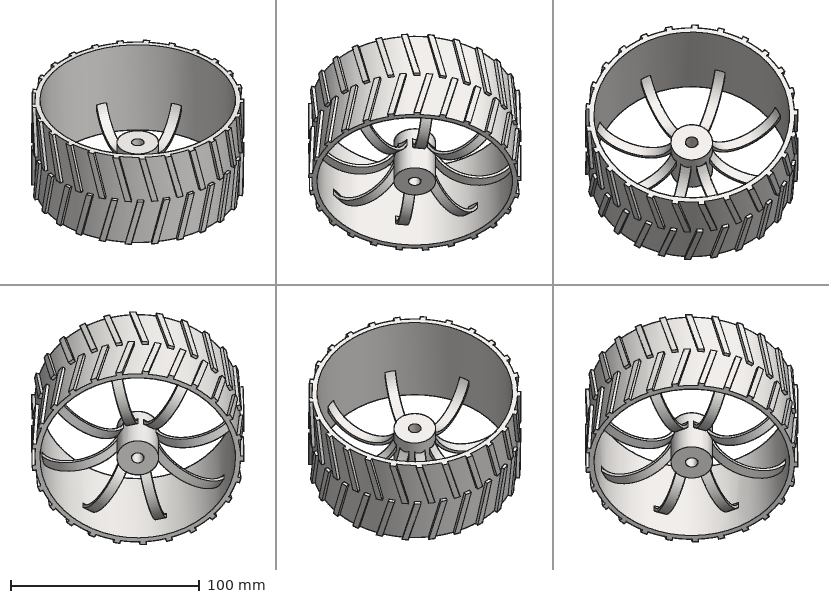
import cadquery as cq
import math

wheel_radius = 56.3
wheel_width = 54.6
half_width = wheel_width / 2
rim_outer_radius = 54.5
rim_inner_radius = 51.8
rim_middle_radius = (rim_inner_radius + rim_outer_radius) / 2

tread_count = 25
tread_width = 3.4
tread_pitch = 360 / tread_count
tread_twist = 6.8
tread_start_angle = 0.2
tread_angle = math.degrees(tread_width / wheel_radius)

hub_radius = 11.0
hub_height = half_width
bore_radius = 3.3

spoke_count = 8
spoke_width = 5.7
spoke_thickness = 1.7
spoke_inner_radius = 21.9
spoke_outer_radius = spoke_inner_radius + spoke_thickness
spoke_center_radius = (hub_radius + rim_inner_radius) / 2
spoke_center_height = half_width


def polar(radius, angle):
    """Point at a radius and an angle in degrees."""
    return radius * math.cos(math.radians(angle)), radius * math.sin(math.radians(angle))


def tread_row(base_height, twist):
    """Half-width row of twisted bars rooted inside the rim wall."""
    bars = []
    for index in range(tread_count):
        start = tread_start_angle + index * tread_pitch
        end = start + tread_angle
        bar = (
            cq.Workplane("XY", origin=(0, 0, base_height))
            .moveTo(*polar(rim_middle_radius, start))
            .lineTo(*polar(wheel_radius, start))
            .threePointArc(polar(wheel_radius, (start + end) / 2), polar(wheel_radius, end))
            .lineTo(*polar(rim_middle_radius, end))
            .close()
            .twistExtrude(half_width, twist)
        )
        bars.append(bar.val())
    return bars


def make_rim():
    """Plain ring carrying both tread rows; the bars lean in opposite directions."""
    ring = cq.Workplane("XY").circle(rim_outer_radius).circle(rim_inner_radius).extrude(wheel_width)
    lower_row = tread_row(0, tread_twist)
    upper_row = tread_row(half_width, -tread_twist)
    return cq.Workplane(ring.val().fuse(*lower_row, *upper_row))


def make_spoke():
    """Lower half of a ring standing in the XZ plane, cut off inside the hub and inside the rim wall."""
    ring = (
        cq.Workplane("XZ", origin=(spoke_center_radius, 0, spoke_center_height))
        .circle(spoke_outer_radius)
        .circle(spoke_inner_radius)
        .extrude(spoke_width / 2, both=True)
    )
    span = cq.Workplane("XY").box(
        rim_middle_radius - bore_radius, spoke_width, spoke_center_height, centered=(False, True, False)
    )
    return ring.intersect(span.translate((bore_radius, 0, 0)))


hub = cq.Workplane("XY").circle(hub_radius).extrude(hub_height)
bore = cq.Workplane("XY").circle(bore_radius).extrude(hub_height)

result = make_rim().union(hub)
spoke = make_spoke()
for index in range(spoke_count):
    result = result.union(spoke.rotate((0, 0, 0), (0, 0, 1), index * 360 / spoke_count))
result = result.cut(bore)